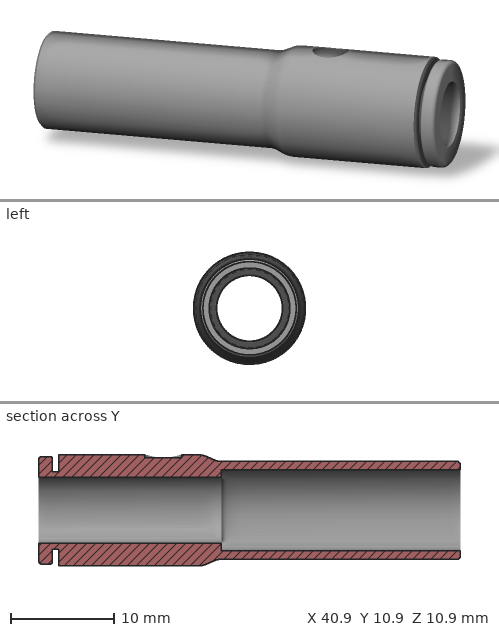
import cadquery as cq
import math

total_length = 40.9
stem_end = 23.15
body_start = 25.5
body_end = 38.95
collar_start = 39.5

stem_diameter = 9.55
body_diameter = 10.85
neck_diameter = 7.55
collar_diameter = 10.47
stem_bore_diameter = 7.8
through_bore_diameter = 6.4

stem_chamfer = 0.25
collar_inner_round = 0.25
collar_outer_round = 0.35

concave_length = 0.75
convex_length = 0.85
solver_steps = 30

recess_center = 28.8
recess_diameter = 3.55
recess_depth = 0.33

stem_radius = stem_diameter / 2
body_radius = body_diameter / 2


def cylinder_along_x(start, end, diameter):
    """Solid cylinder on the X axis between two stations."""
    return cq.Workplane("YZ", origin=(start, 0, 0)).circle(diameter / 2).extrude(end - start)


def make_fitting():
    """Revolve the stem, flared shoulder and body."""
    rise = body_radius - stem_radius
    arc_lengths = concave_length + convex_length
    cone_length = body_start - stem_end - arc_lengths
    half_tangent = 0.0
    for _ in range(solver_steps):
        half_tangent = rise / (arc_lengths + 2 * cone_length / (1 - half_tangent**2))
    slope = math.tan(2 * math.atan(half_tangent))

    cone_start = (stem_end + concave_length, stem_radius + concave_length * half_tangent)
    cone_end = (cone_start[0] + cone_length, cone_start[1] + cone_length * slope)
    profile = (
        cq.Workplane("XY")
        .moveTo(0, 0)
        .lineTo(0, stem_radius - stem_chamfer)
        .lineTo(stem_chamfer, stem_radius)
        .lineTo(stem_end, stem_radius)
        .tangentArcPoint(cone_start, relative=False)
        .lineTo(*cone_end)
        .tangentArcPoint((body_start, body_radius), relative=False)
        .lineTo(body_end, body_radius)
        .lineTo(body_end, 0)
        .close()
    )
    return profile.revolve(360, (0, 0, 0), (1, 0, 0))


def make_release_collar():
    """Narrow neck carrying the rounded release collar."""
    neck = cylinder_along_x(body_end, collar_start, neck_diameter)
    collar = cylinder_along_x(collar_start, total_length, collar_diameter)
    collar = collar.faces("<X").edges().fillet(collar_inner_round)
    collar = collar.faces(">X").edges().fillet(collar_outer_round)
    return neck.union(collar)


def make_bores():
    """Through bore, widened along the stem."""
    through_bore = cylinder_along_x(0, total_length, through_bore_diameter)
    stem_bore = cylinder_along_x(0, stem_end, stem_bore_diameter)
    return through_bore.union(stem_bore)


def make_recess():
    """Shallow round pocket sunk into the top of the body."""
    floor = cq.Workplane("XY", origin=(recess_center, 0, body_radius - recess_depth))
    return floor.circle(recess_diameter / 2).extrude(2 * recess_depth)


result = make_fitting().union(make_release_collar()).cut(make_bores()).cut(make_recess())